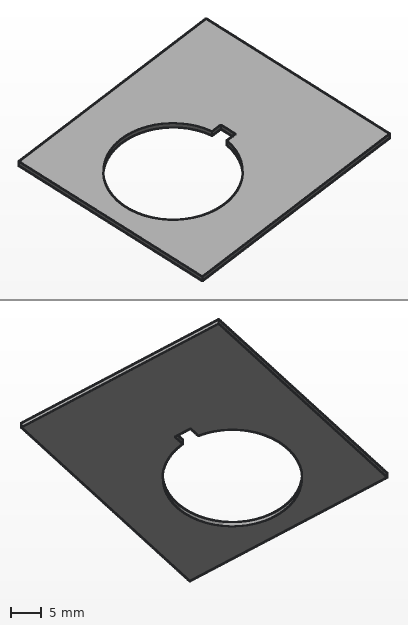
import cadquery as cq

plate_width = 40.0
plate_length = 45.0
plate_thickness = 1.0

hole_diameter = 22.5
lower_field_length = plate_length * 2 / 3
hole_y = (lower_field_length - plate_length) / 2

notch_width = 3.15
notch_reach = 13.25


def make_plate():
    """Flat rectangular plate resting on Z = 0."""
    return cq.Workplane("XY").box(
        plate_width, plate_length, plate_thickness, centered=(True, True, False)
    )


def make_keyed_hole():
    """Through-hole cutter: a round bore with a square notch towards +Y."""
    hole_plane = cq.Workplane("XY").center(0, hole_y)
    bore = hole_plane.circle(hole_diameter / 2).extrude(plate_thickness)
    notch = (
        hole_plane.center(0, notch_reach / 2)
        .rect(notch_width, notch_reach)
        .extrude(plate_thickness)
    )
    return bore.union(notch)


result = make_plate().cut(make_keyed_hole())